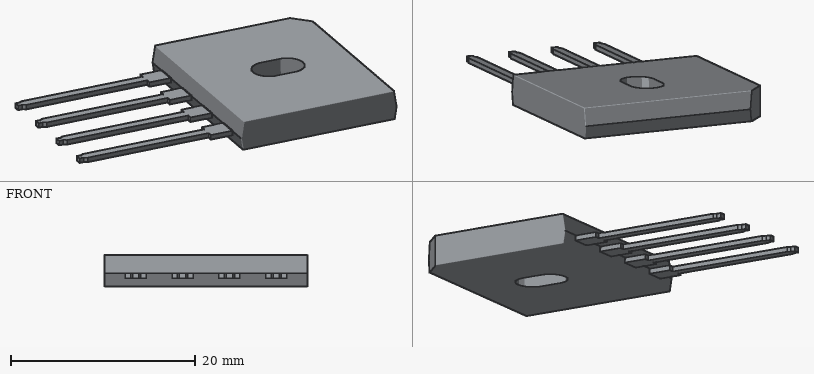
import cadquery as cq
import math


OVERALL_LENGTH = 36.8

HOUSING_WIDTH = 22.05
HOUSING_HEIGHT = 3.42
HOUSING_DEPTH = 18.8
PARTING_HEIGHT = 1.45
DRAFT_ANGLE = 9.3
EDGE_RADIUS = 0.1
CORNER_CUT = 2.3

SLOT_LENGTH = 6.0
SLOT_WIDTH = 3.8
SLOT_FROM_BACK = 8.98

LEAD_COUNT = 4
LEAD_PITCH = 5.08
LEAD_THICKNESS = 0.55
LEAD_LENGTH = OVERALL_LENGTH - HOUSING_DEPTH
SHOULDER_WIDTH = 2.3
SHOULDER_LENGTH = 2.55
SHANK_WIDTH = 1.1
TIP_WIDTH = 0.7
TIP_LENGTH = 0.5
TAPER_LENGTH = 0.35


def wall_setback(distance_from_parting):
    """Distance the drafted walls lean in at a given height above or below the parting line."""
    return distance_from_parting * math.tan(math.radians(DRAFT_ANGLE))


def make_housing_block():
    """Six-sided side profile, drafted both ways from the parting line, with rounded edges."""
    top_setback = wall_setback(HOUSING_HEIGHT - PARTING_HEIGHT)
    bottom_setback = wall_setback(PARTING_HEIGHT)
    block = (
        cq.Workplane("YZ")
        .moveTo(bottom_setback, 0)
        .lineTo(0, PARTING_HEIGHT)
        .lineTo(top_setback, HOUSING_HEIGHT)
        .lineTo(HOUSING_DEPTH - top_setback, HOUSING_HEIGHT)
        .lineTo(HOUSING_DEPTH, PARTING_HEIGHT)
        .lineTo(HOUSING_DEPTH - bottom_setback, 0)
        .close()
        .extrude(HOUSING_WIDTH / 2, both=True)
    )
    return block.faces("<X or >X or <Z or >Z").edges().fillet(EDGE_RADIUS)


def make_corner_cutter():
    """Triangular prism that removes the back left corner."""
    left = -HOUSING_WIDTH / 2
    return (
        cq.Workplane("XY")
        .moveTo(left, HOUSING_DEPTH)
        .lineTo(left + CORNER_CUT, HOUSING_DEPTH)
        .lineTo(left, HOUSING_DEPTH - CORNER_CUT)
        .close()
        .extrude(HOUSING_HEIGHT)
    )


def make_slot_cutter():
    """Round-ended through slot for the mounting screw."""
    return (
        cq.Workplane("XY")
        .center(0, HOUSING_DEPTH - SLOT_FROM_BACK)
        .slot2D(SLOT_LENGTH, SLOT_WIDTH, 90)
        .extrude(HOUSING_HEIGHT)
    )


def make_lead(center_x):
    """Flat lead whose top lies at the parting line and whose root just enters the sloping wall."""
    root_y = wall_setback(LEAD_THICKNESS)
    tip_y = -LEAD_LENGTH
    taper_end_y = tip_y + TIP_LENGTH
    taper_start_y = taper_end_y + TAPER_LENGTH
    right_side = [
        (SHOULDER_WIDTH / 2, root_y),
        (SHOULDER_WIDTH / 2, -SHOULDER_LENGTH),
        (SHANK_WIDTH / 2, -SHOULDER_LENGTH),
        (SHANK_WIDTH / 2, taper_start_y),
        (TIP_WIDTH / 2, taper_end_y),
        (TIP_WIDTH / 2, tip_y),
    ]
    left_side = [(-x, y) for x, y in reversed(right_side)]
    return (
        cq.Workplane("XY")
        .workplane(offset=PARTING_HEIGHT - LEAD_THICKNESS)
        .center(center_x, 0)
        .polyline(right_side + left_side)
        .close()
        .extrude(LEAD_THICKNESS)
    )


first_lead_x = -LEAD_PITCH * (LEAD_COUNT - 1) / 2
leads = [make_lead(first_lead_x + i * LEAD_PITCH) for i in range(LEAD_COUNT)]

housing = make_housing_block().cut(make_corner_cutter()).cut(make_slot_cutter())
for lead in leads:
    housing = housing.cut(lead)

result = cq.Compound.makeCompound([housing.val(), *[lead.val() for lead in leads]])